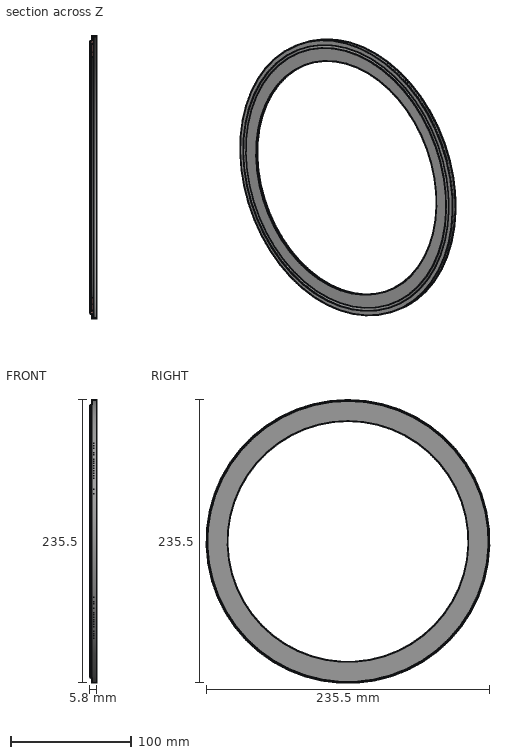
import cadquery as cq

outer_radius = 117.75
bore_radius = 100.0
total_width = 5.8
rim_width = 4.3
rim_wall = 1.0
bead_outer_radius = 113.75
bead_radius = 1.25
cone_rise = 0.15
bore_edge_width = 2.0

recess_radius = outer_radius - rim_wall
bead_center_radius = bead_outer_radius - bead_radius
bead_inner_radius = bead_center_radius - bead_radius
bead_crown_x = -total_width
bead_base_x = bead_crown_x + bead_radius
rim_face_x = -rim_width
bore_edge_x = rim_face_x - cone_rise
recess_floor_x = bore_edge_x + bore_edge_width


def ring_section():
    """Half section in the XZ plane: thin rim, rounded bead, shallow cone and recessed back."""
    return (
        cq.Workplane("XZ")
        .moveTo(0, outer_radius)
        .lineTo(rim_face_x, outer_radius)
        .lineTo(rim_face_x, bead_outer_radius)
        .lineTo(bead_base_x, bead_outer_radius)
        .threePointArc((bead_crown_x, bead_center_radius), (bead_base_x, bead_inner_radius))
        .lineTo(rim_face_x, bead_inner_radius)
        .lineTo(bore_edge_x, bore_radius)
        .lineTo(recess_floor_x, bore_radius)
        .lineTo(recess_floor_x, recess_radius)
        .lineTo(0, recess_radius)
        .close()
    )


full_turn = 360
result = ring_section().revolve(full_turn, (0, 0, 0), (1, 0, 0))